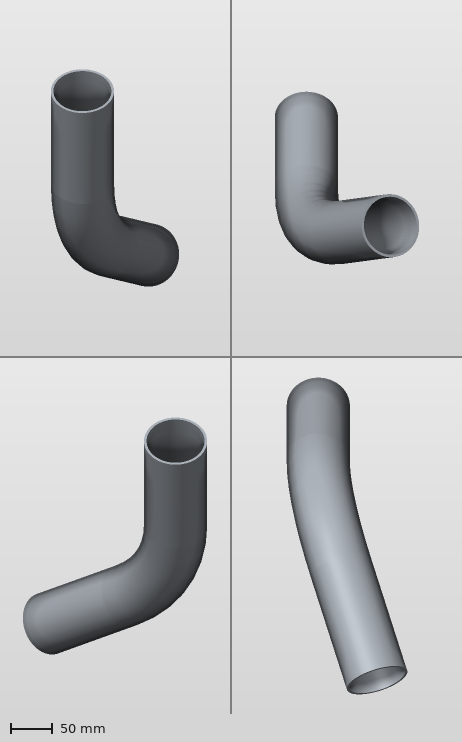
import cadquery as cq

outer_diameter = 76.5
bore_diameter = 70.0
straight_length = 151.5
bend_radius = 230.0
bend_angle = 45.0

bend_axis_start = (0, bend_radius, 0)
bend_axis_end = (1, bend_radius, 0)


def tube_section():
    """Ring-shaped cross-section where the upper leg meets the bend."""
    return cq.Workplane("XY").circle(outer_diameter / 2).circle(bore_diameter / 2)


upper_leg = tube_section().extrude(straight_length)

bend = tube_section().revolve(bend_angle, bend_axis_start, bend_axis_end)

hanging_leg = tube_section().extrude(-straight_length)
lower_leg = hanging_leg.rotate(bend_axis_start, bend_axis_end, bend_angle)

result = upper_leg.union(bend).union(lower_leg)